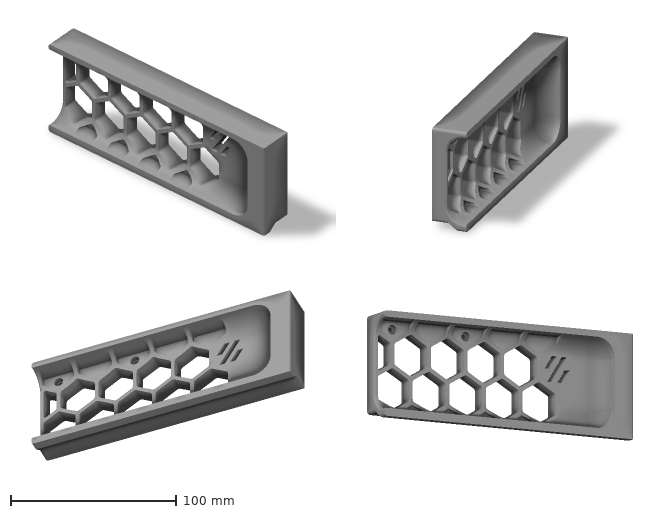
import cadquery as cq
import math

LENGTH = 170.5
DEPTH = 22.3
HEIGHT = 65.0
END_RADIUS = 2.0
FRONT_CHAMFER = 0.7

STEP_HEIGHT = 4.1
SLOPE_FRONT_Y = 5.5
SLOPE_REAR_Y = 10.7

POCKET_DEPTH = 13.0
POCKET_BOTTOM = 5.0
POCKET_TOP = HEIGHT - 4.0
POCKET_RIGHT = 157.5
POCKET_CORNER_RADIUS = 12.0
POCKET_FLOOR_RADIUS = 10.9
RIM_CHAMFER_LENGTH = 0.7
RIM_CHAMFER_WIDTH = 1.2

HEX_FLATS = 22.5
HEX_CIRCUMDIAMETER = HEX_FLATS / math.cos(math.pi / 6)
HEX_PITCH = 25.0
HEX_ROW_PITCH = HEX_PITCH * math.sin(math.pi / 3)
HEX_CORNER_RADIUS = 2.0
CUT_CORNER_RADIUS = 1.0
HEX_FIRST_X = 12.5
HEX_FIRST_Z = 19.5
GRILLE_LEFT = 2.5
HEX_RECESS_DEPTH = POCKET_DEPTH

SCREW_DIAMETER = 3.2
SCREW_HEAD_DIAMETER = 6.0
SCREW_HEAD_DEPTH = 3.0
SCREW_Z = 56.0
SCREW_CELLS = (0, 2)

SLOT_WIDTH = 3.8
SLOT_HEIGHT = 8.0
SLOT_LEAN = 5.1
SLOT_MIDDLE_Z = HEX_FIRST_Z + HEX_ROW_PITCH
SLOT_LOWER_Z = SLOT_MIDDLE_Z - SLOT_HEIGHT
UPPER_SLOT_X = 116.5
LONG_SLOT_X = 118.2
LOWER_SLOT_X = 125.1

CLEARANCE = 8.5
TOLERANCE = 0.002


def box_between(x_range, y_range, z_range):
    """Box spanning the given (low, high) ranges."""
    ranges = (x_range, y_range, z_range)
    sizes = [high - low for low, high in ranges]
    corner = cq.Vector(*[low for low, high in ranges])
    return cq.Workplane("XY").box(*sizes, centered=False).translate(corner)


def rounded_slab(bottom):
    """Full-depth slab from the given height to the top, rounded at its left end."""
    slab = box_between((0, LENGTH), (0, DEPTH), (bottom, HEIGHT))
    return slab.edges("|Y and <X").fillet(END_RADIUS)


def make_body():
    slope = STEP_HEIGHT / (SLOPE_REAR_Y - SLOPE_FRONT_Y)
    rear_y = DEPTH + CLEARANCE
    rear_z = slope * (rear_y - SLOPE_FRONT_Y)
    front_y = SLOPE_FRONT_Y - CLEARANCE
    front_z = slope * (front_y - SLOPE_FRONT_Y)
    below_slope = (
        cq.Workplane("YZ")
        .polyline([(front_y, front_z), (rear_y, front_z), (rear_y, rear_z)])
        .close()
        .extrude(LENGTH)
    )
    front_lip = rounded_slab(0).cut(below_slope)
    body = rounded_slab(STEP_HEIGHT).union(front_lip)
    return body.edges("|Z and >X and <Y").chamfer(FRONT_CHAMFER)


def make_pocket():
    """Tray with a rounded floor; its front and left sides run out of the body."""
    left = -2 * POCKET_FLOOR_RADIUS
    tray = box_between((left, POCKET_RIGHT), (0, POCKET_DEPTH), (POCKET_BOTTOM, POCKET_TOP))
    tray = tray.edges("|Y and >X").fillet(POCKET_CORNER_RADIUS)
    return tray.faces(">Y").edges("not(<X)").fillet(POCKET_FLOOR_RADIUS)


def make_rim_chamfer():
    """Flared cutter around the pocket mouth in the left end."""
    flare_angle = math.degrees(math.atan2(RIM_CHAMFER_WIDTH, RIM_CHAMFER_LENGTH))
    mouth = box_between(
        (RIM_CHAMFER_LENGTH, 2 * RIM_CHAMFER_LENGTH),
        (-CLEARANCE, POCKET_DEPTH),
        (POCKET_BOTTOM, POCKET_TOP),
    )
    mouth = mouth.edges("|X and >Y").fillet(POCKET_FLOOR_RADIUS)
    return mouth.faces("<X").wires().toPending().workplane().extrude(
        RIM_CHAMFER_LENGTH, taper=-flare_angle, combine=False
    )


def cell_x(column, row):
    """Centre of a cell; odd rows are shifted half a pitch to the right."""
    return HEX_FIRST_X + (column + (row % 2) / 2) * HEX_PITCH


def on_cell_limit(edge):
    """True for an edge on a plane that cuts cells off."""
    centre = edge.Center()
    gaps = (centre.x - GRILLE_LEFT, centre.z - POCKET_BOTTOM, centre.z - POCKET_TOP)
    return any(abs(gap) < TOLERANCE for gap in gaps)


def hex_cell(column, row, depth):
    """Hexagonal prism with rounded corners, cut off at the grille limits."""
    cell = (
        cq.Workplane("XZ")
        .polygon(6, HEX_CIRCUMDIAMETER)
        .extrude(-depth)
        .edges("|Y")
        .fillet(HEX_CORNER_RADIUS)
        .rotate((0, 0, 0), (0, 1, 0), 30)
        .translate((cell_x(column, row), 0, HEX_FIRST_Z + row * HEX_ROW_PITCH))
    )
    limits = box_between((GRILLE_LEFT, POCKET_RIGHT), (0, depth), (POCKET_BOTTOM, POCKET_TOP))
    cell = cell.intersect(limits)
    cut_corners = cell.edges("|Y").filter(on_cell_limit)
    if cut_corners.size() == 0:
        return cell
    return cut_corners.fillet(CUT_CORNER_RADIUS)


def screw_hole(x):
    """Through hole with a counterbore sunk into the recess floor."""
    hole = cq.Workplane("XZ").center(x, SCREW_Z).circle(SCREW_DIAMETER / 2).extrude(-DEPTH)
    head = (
        cq.Workplane("XZ")
        .center(x, SCREW_Z)
        .circle(SCREW_HEAD_DIAMETER / 2)
        .extrude(-(HEX_RECESS_DEPTH + SCREW_HEAD_DEPTH))
    )
    return hole.union(head)


def slanted_slot(x, z, lengths):
    """Leaning slot through the floor, a whole number of slot heights tall."""
    top_x = x + lengths * SLOT_LEAN
    top_z = z + lengths * SLOT_HEIGHT
    corners = [(x, z), (x + SLOT_WIDTH, z), (top_x + SLOT_WIDTH, top_z), (top_x, top_z)]
    return cq.Workplane("XZ").polyline(corners).close().extrude(-DEPTH)


result = make_body().cut(make_pocket()).cut(make_rim_chamfer())

for column in range(5):
    result = result.cut(hex_cell(column, 0, DEPTH))
    result = result.cut(hex_cell(column - 1, 1, DEPTH))

for column in range(4):
    result = result.cut(hex_cell(column, -1, HEX_RECESS_DEPTH))
for column in range(5):
    result = result.cut(hex_cell(column, 2, HEX_RECESS_DEPTH))

for column in SCREW_CELLS:
    result = result.cut(screw_hole(cell_x(column, 0)))

result = result.cut(slanted_slot(UPPER_SLOT_X, SLOT_MIDDLE_Z, 1))
result = result.cut(slanted_slot(LONG_SLOT_X, SLOT_LOWER_Z, 2))
result = result.cut(slanted_slot(LOWER_SLOT_X, SLOT_LOWER_Z, 1))